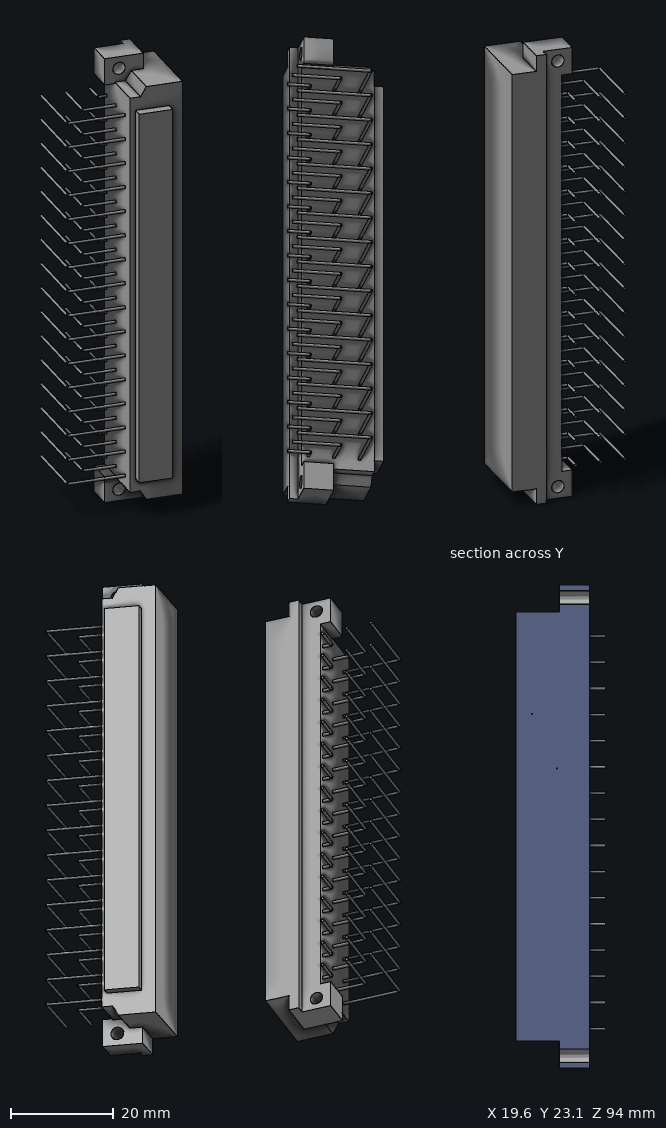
import cadquery as cq


length = 94.0
overall_depth = 23.1
body_length = 87.4
body_width = 16.1
body_depth = 10.9
step_width = 1.7
step_depth = 7.05
bevel_start = 7.5
bevel_end = 8.7
bevel_drop = 2.0

block_width = 7.6
block_back = 5.0
block_front = 13.1
block_length = 5.5
hole_diameter = 2.5
hole_depth_position = 10.1
hole_end_distance = 2.4

tongue_height = 2.1
tongue_back = 2.8
tongue_front = 9.8
tongue_length = 78.0

pin_diameter = 0.6
pin_count = 16
row_count = 3
row_pitch = 5.1
pin_span = 76.3
top_pin_distance = 10.0
pin_tip = 1.4
outer_pin_x = 13.2
pin_pitch = pin_span / (pin_count - 1)
outer_pin_depth = overall_depth - pin_diameter / 2
pin_embed = 0.9


def box(x_range, depth_range, z_range):
    """Box between two X values, two depths measured toward -Y and two heights."""
    (x0, x1), (d0, d1), (z0, z1) = x_range, depth_range, z_range
    return cq.Workplane("XY").box(x1 - x0, d1 - d0, z1 - z0, centered=False).translate((x0, -d1, z0))


def make_body():
    half = body_length / 2
    front_half = half - bevel_drop
    outline = [
        (0, -half),
        (0, half),
        (-bevel_start, half),
        (-bevel_end, front_half),
        (-body_depth, front_half),
        (-body_depth, -front_half),
        (-bevel_end, -front_half),
        (-bevel_start, -half),
    ]
    return cq.Workplane("YZ").polyline(outline).close().extrude(body_width)


def make_block(side):
    """Mounting block at the upper (side = 1) or lower (side = -1) end."""
    end = side * length / 2
    z_range = sorted((end, end - side * block_length))
    return box((0, block_width), (block_back, block_front), z_range)


def make_mounting_hole(side):
    z = side * (length / 2 - hole_end_distance)
    return cq.Workplane("YZ").center(-hole_depth_position, z).circle(hole_diameter / 2).extrude(block_width)


def make_pin(row, z):
    """Round leg toward -Y and round tail toward -X, each ending where their axes cross."""
    x = outer_pin_x - row * row_pitch
    depth = outer_pin_depth - row * row_pitch
    leg_start = body_depth - pin_embed
    leg = cq.Workplane("XZ").center(x, z).circle(pin_diameter / 2).extrude(depth - leg_start)
    leg = leg.translate((0, -leg_start, 0))
    tail = cq.Workplane("YZ").center(-depth, z).circle(pin_diameter / 2).extrude(x + pin_tip)
    tail = tail.translate((-pin_tip, 0, 0))
    return leg.union(tail)


housing = make_body()
for side in (1, -1):
    housing = housing.union(make_block(side))

rebate = box((0, step_width), (step_depth, block_front), (-length / 2, length / 2))
housing = housing.cut(rebate)
for side in (1, -1):
    housing = housing.cut(make_mounting_hole(side))

tongue = box(
    (body_width, body_width + tongue_height),
    (tongue_back, tongue_front),
    (-tongue_length / 2, tongue_length / 2),
)
result = housing.union(tongue)

for row in range(row_count):
    for index in range(pin_count):
        z = length / 2 - top_pin_distance - index * pin_pitch
        result = result.union(make_pin(row, z))